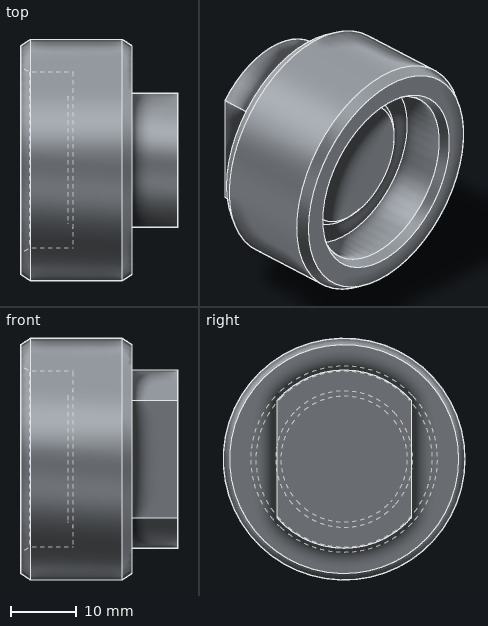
import cadquery as cq

overall_length = 24.0
body_diameter = 36.9
body_length = 17.0
body_chamfer_axial = 1.5
body_chamfer_radial = 1.0

socket_diameter = 26.85
socket_depth = 8.0
mouth_diameter = 28.45
mouth_bevel_depth = 1.35
pad_base_diameter = 20.9
pad_top_diameter = 19.25
pad_height = 0.8

stub_diameter = 27.2
stub_across_flats = 20.48


def revolve_about_x(profile):
    """Turn a closed (axial, radial) profile about the X axis."""
    return cq.Workplane("XY").polyline(profile).close().revolve(360, (0, 0, 0), (1, 0, 0))


def make_body():
    radius = body_diameter / 2
    end_radius = radius - body_chamfer_radial
    return revolve_about_x([
        (0, 0),
        (0, end_radius),
        (body_chamfer_axial, radius),
        (body_length - body_chamfer_axial, radius),
        (body_length, end_radius),
        (body_length, 0),
    ])


def make_stub():
    stub_length = overall_length - socket_depth
    stub = cq.Workplane("YZ", origin=(socket_depth, 0, 0)).circle(stub_diameter / 2).extrude(stub_length)
    between_flats = (
        cq.Workplane("YZ", origin=(socket_depth, 0, 0))
        .rect(stub_across_flats, stub_diameter)
        .extrude(stub_length)
    )
    return stub.intersect(between_flats)


def make_socket():
    """Socket volume, left open around the raised pad."""
    pad_top = socket_depth - pad_height
    return revolve_about_x([
        (0, 0),
        (0, mouth_diameter / 2),
        (mouth_bevel_depth, socket_diameter / 2),
        (socket_depth, socket_diameter / 2),
        (socket_depth, pad_base_diameter / 2),
        (pad_top, pad_top_diameter / 2),
        (pad_top, 0),
    ])


result = make_body().union(make_stub()).cut(make_socket())